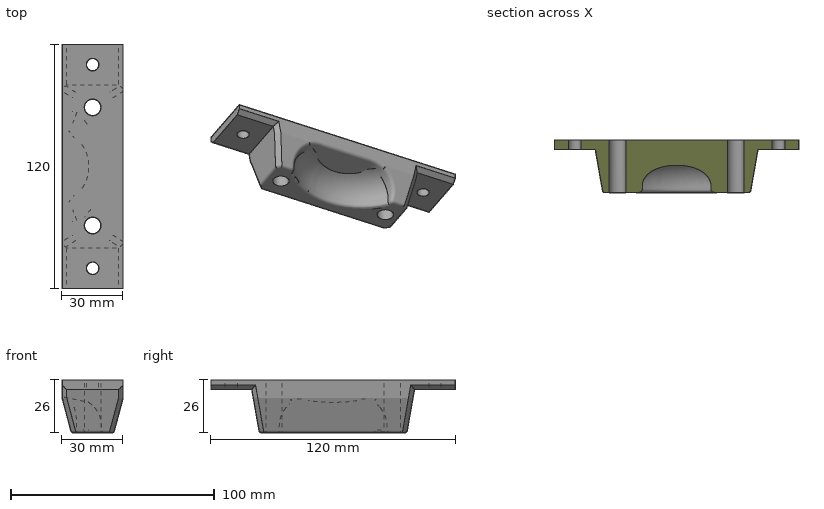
import cadquery as cq
import math

LENGTH = 120.0
WIDTH = 30.0
HEIGHT = 26.0
PLATE_THICKNESS = 4.75
EDGE_CHAMFER = 2.25

BLOCK_TOP_LENGTH = 80.0
BLOCK_END_ANGLE = 10.0
STRAIGHT_SIDE_HEIGHT = 9.0
SIDE_ANGLE = 15.0
BOTTOM_FILLET = 1.5

SCREW_DIAMETER = 6.0
SCREW_SPACING = 100.0
BOLT_DIAMETER = 8.0
BOLT_SPACING = 58.0

SCOOP_WIDTH = 56.0
SCOOP_TOP_DROP = 8.2
SCOOP_SPRING_DROP = 22.6
SCOOP_DRAFT = 12.0
SCOOP_DEEPEST_X = 4.3
SCOOP_PLAN_RADIUS = 35.0
SCOOP_ROOF_RADIUS = 14.0
SCOOP_ROOF_ANGLE = 20.0
SCOOP_RIM_FILLET = 1.7
OVERCUT = 10.0

TOLERANCE = 0.01


def side_slope_inset(depth):
    """Inward X offset of the sloping sides at a depth below the top face."""
    return (depth - STRAIGHT_SIDE_HEIGHT) * math.tan(math.radians(SIDE_ANGLE))


def make_blank():
    """Plate and block profile across X, with both sides sloping in towards the bottom."""
    block_height = HEIGHT - PLATE_THICKNESS
    top_half = BLOCK_TOP_LENGTH / 2
    bottom_half = top_half - block_height * math.tan(math.radians(BLOCK_END_ANGLE))
    profile = (
        cq.Workplane("YZ")
        .moveTo(-LENGTH / 2, 0)
        .lineTo(LENGTH / 2, 0)
        .lineTo(LENGTH / 2, -PLATE_THICKNESS)
        .lineTo(top_half, -PLATE_THICKNESS)
        .lineTo(bottom_half, -HEIGHT)
        .lineTo(-bottom_half, -HEIGHT)
        .lineTo(-top_half, -PLATE_THICKNESS)
        .lineTo(-LENGTH / 2, -PLATE_THICKNESS)
        .close()
        .extrude(WIDTH / 2, both=True)
    )
    half_width = WIDTH / 2
    bottom_half_width = half_width - side_slope_inset(HEIGHT)
    envelope = (
        cq.Workplane("XZ")
        .moveTo(-half_width, 0)
        .lineTo(half_width, 0)
        .lineTo(half_width, -STRAIGHT_SIDE_HEIGHT)
        .lineTo(bottom_half_width, -HEIGHT)
        .lineTo(-bottom_half_width, -HEIGHT)
        .lineTo(-half_width, -STRAIGHT_SIDE_HEIGHT)
        .close()
        .extrude(LENGTH / 2, both=True)
    )
    return profile.intersect(envelope)


def chamfer_lower_edges(body):
    """Chamfer the long lower edges of the plate and the upright edges of the block."""
    def is_chamfered(edge):
        center = edge.Center()
        on_plate_end = abs(center.y) > LENGTH / 2 - TOLERANCE
        on_top = center.z > -TOLERANCE
        on_bottom = center.z < -HEIGHT + TOLERANCE
        across = abs(center.x) < TOLERANCE
        lengthwise = abs(center.y) < TOLERANCE
        return not (on_plate_end or on_top or on_bottom or across or lengthwise)

    edges = [edge for edge in body.edges().vals() if is_chamfered(edge)]
    return body.newObject(edges).chamfer(EDGE_CHAMFER)


def make_scoop_opening():
    """Opening with rounded upper corners, narrowing inwards from the -X side."""
    half = SCOOP_WIDTH / 2
    corner_radius = SCOOP_SPRING_DROP - SCOOP_TOP_DROP
    top_half = half - corner_radius
    mid_y = top_half + corner_radius * math.sqrt(0.5)
    mid_z = -SCOOP_SPRING_DROP + corner_radius * math.sqrt(0.5)
    bottom_z = -HEIGHT - OVERCUT
    return (
        cq.Workplane("YZ", origin=(-WIDTH / 2, 0, 0))
        .moveTo(-half, bottom_z)
        .lineTo(-half, -SCOOP_SPRING_DROP)
        .threePointArc((-mid_y, mid_z), (-top_half, -SCOOP_TOP_DROP))
        .lineTo(top_half, -SCOOP_TOP_DROP)
        .threePointArc((mid_y, mid_z), (half, -SCOOP_SPRING_DROP))
        .lineTo(half, bottom_z)
        .close()
        .extrude(WIDTH, taper=SCOOP_DRAFT)
    )


def make_scoop_dome():
    """Upright cylinder with a rounded shoulder below a narrower neck: the scoop's back wall."""
    axis_x = SCOOP_DEEPEST_X - SCOOP_PLAN_RADIUS
    bottom_z = -HEIGHT - OVERCUT
    arc_center_x = SCOOP_DEEPEST_X - SCOOP_ROOF_RADIUS

    def roof_point(angle):
        return (
            arc_center_x + SCOOP_ROOF_RADIUS * math.cos(math.radians(angle)),
            -SCOOP_SPRING_DROP + SCOOP_ROOF_RADIUS * math.sin(math.radians(angle)),
        )

    arc_end_angle = 90 - SCOOP_ROOF_ANGLE
    arc_end_x, arc_end_z = roof_point(arc_end_angle)
    return (
        cq.Workplane("XZ")
        .moveTo(axis_x, bottom_z)
        .lineTo(SCOOP_DEEPEST_X, bottom_z)
        .lineTo(SCOOP_DEEPEST_X, -SCOOP_SPRING_DROP)
        .threePointArc(roof_point(arc_end_angle / 2), (arc_end_x, arc_end_z))
        .lineTo(arc_end_x, 0)
        .lineTo(axis_x, 0)
        .close()
        .revolve(360, (axis_x, 0, 0), (axis_x, 1, 0))
    )


def round_scoop_rim(body):
    """Round the edge where the scoop breaks through the -X side, above the bottom face."""
    def on_side(point):
        side_x = -WIDTH / 2 + max(0, side_slope_inset(-point.z))
        return abs(point.x - side_x) < TOLERANCE

    def is_rim(edge):
        along_edge = [edge.positionAt(t) for t in (0.1, 0.5, 0.9)]
        middle = along_edge[1]
        within_scoop = abs(middle.y) < SCOOP_WIDTH / 2
        below_roof = -HEIGHT + TOLERANCE < middle.z < -SCOOP_TOP_DROP + TOLERANCE
        return within_scoop and below_roof and all(on_side(point) for point in along_edge)

    edges = [edge for edge in body.edges().vals() if is_rim(edge)]
    return body.newObject(edges).fillet(SCOOP_RIM_FILLET)


def make_hole_pair(diameter, spacing):
    """Two full-height vertical cylinders, spaced along Y about the middle."""
    return (
        cq.Workplane("XY")
        .pushPoints([(0, -spacing / 2), (0, spacing / 2)])
        .circle(diameter / 2)
        .extrude(-HEIGHT)
    )


body = chamfer_lower_edges(make_blank())
body = body.cut(make_scoop_opening().intersect(make_scoop_dome()))
body = round_scoop_rim(body)
body = body.faces("<Z").edges().fillet(BOTTOM_FILLET)
body = body.cut(make_hole_pair(SCREW_DIAMETER, SCREW_SPACING))
result = body.cut(make_hole_pair(BOLT_DIAMETER, BOLT_SPACING))